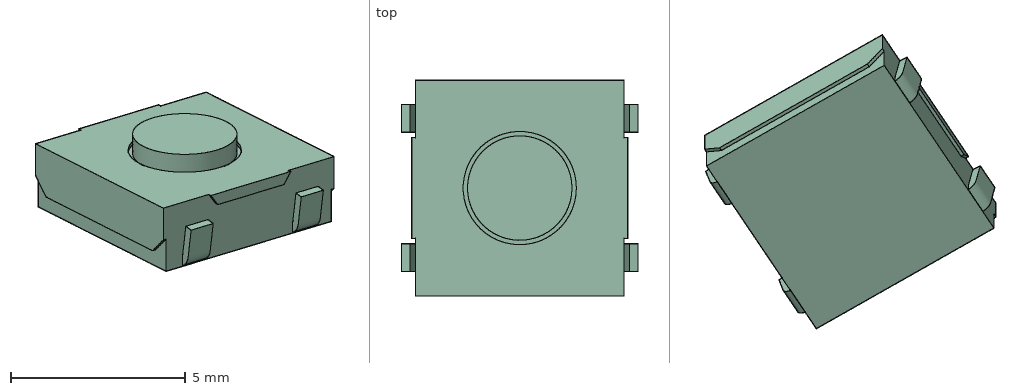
import cadquery as cq
import math

total_length = 6.8
total_height = 2.5
base_side = 6.0
sheet_thickness = 0.1
cover_top = 2.0

button_diameter = 3.0
opening_diameter = 3.25

skirt_drop = 1.495
skirt_corner = 0.5
tab_width = 2.905
tab_drop = 0.35
tab_corner_width = 0.25

leg_width = 0.8
leg_spacing = 4.0
leg_thickness = 0.25
leg_tilt = 9.0
leg_bend_radius = 0.43
leg_tip_height = 1.265


def make_flap(width, drop, corner_width, corner_height):
    """Flap on the -Y face: straight top edge and two cut lower corners."""
    half = width / 2
    bottom = cover_top - drop
    corner_top = bottom + corner_height
    points = [
        (-half, corner_top),
        (-half + corner_width, bottom),
        (half - corner_width, bottom),
        (half, corner_top),
    ]
    if drop > corner_height:
        points += [(half, cover_top), (-half, cover_top)]
    face = cq.Workplane("XZ", origin=(0, -base_side / 2, 0))
    return face.polyline(points).close().extrude(sheet_thickness)


def make_leg(y_centre):
    """Terminal on the -X side: bends out of the base and leans outward."""
    tilt = math.radians(leg_tilt)
    cos_tilt, sin_tilt = math.cos(tilt), math.sin(tilt)
    inner_radius = leg_bend_radius - leg_thickness

    tip = (-total_length / 2, leg_tip_height)
    bend_z = leg_bend_radius
    straight = (leg_tip_height - bend_z + leg_bend_radius * sin_tilt) / cos_tilt
    bend_x = tip[0] + straight * sin_tilt + leg_bend_radius * cos_tilt

    def on_bend(radius, angle):
        return (bend_x - radius * math.cos(angle), bend_z - radius * math.sin(angle))

    middle_angle = (tilt + math.pi / 2) / 2
    inner_tip = (tip[0] + leg_thickness * cos_tilt, tip[1] + leg_thickness * sin_tilt)
    return (
        cq.Workplane("XZ", origin=(0, y_centre + leg_width / 2, 0))
        .moveTo(*tip)
        .lineTo(*on_bend(leg_bend_radius, tilt))
        .threePointArc(on_bend(leg_bend_radius, middle_angle), (bend_x, 0))
        .lineTo(bend_x, leg_thickness)
        .threePointArc(on_bend(inner_radius, middle_angle), on_bend(inner_radius, tilt))
        .lineTo(*inner_tip)
        .close()
        .extrude(leg_width)
    )


body = cq.Workplane("XY").box(base_side, base_side, cover_top, centered=(True, True, False))
opening = (
    cq.Workplane("XY", origin=(0, 0, cover_top - sheet_thickness))
    .circle(opening_diameter / 2)
    .extrude(sheet_thickness)
)
body = body.cut(opening)

button_base = cover_top - sheet_thickness
button = (
    cq.Workplane("XY", origin=(0, 0, button_base))
    .circle(button_diameter / 2)
    .extrude(total_height - button_base)
)
result = body.union(button)

skirt = make_flap(base_side, skirt_drop, skirt_corner, skirt_corner)
tab = make_flap(tab_width, tab_drop, tab_corner_width, tab_drop)
for turn in (0, 180):
    result = result.union(skirt.rotate((0, 0, 0), (0, 0, 1), turn))
    result = result.union(tab.rotate((0, 0, 0), (0, 0, 1), turn + 90))

for y_centre in (-leg_spacing / 2, leg_spacing / 2):
    leg = make_leg(y_centre)
    result = result.union(leg).union(leg.mirror("YZ"))